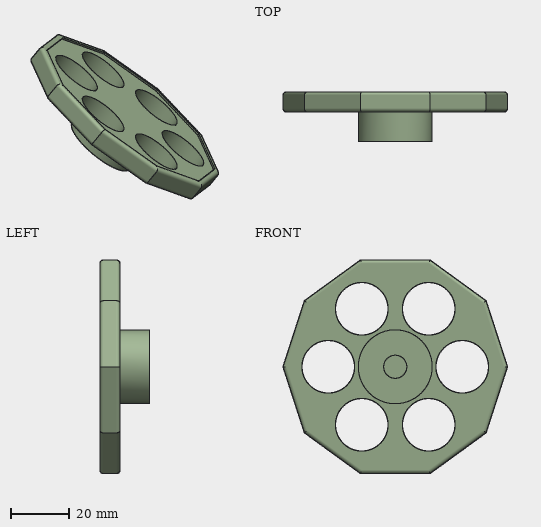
import cadquery as cq

wheel_sides = 10
wheel_across_corners = 77.3
total_depth = 17.15
wheel_thickness = 6.95
edge_radius = 1.2

recess_depth = 0.6
recess_across_corners = 72.65

hub_diameter = 25.4
hub_height = total_depth - wheel_thickness
bore_diameter = 7.95
bore_depth = hub_height

window_count = 6
window_diameter = 18.0
window_circle_radius = 23.0


def make_wheel():
    """Ten-sided plate with a corner on the X axis and a ring of round lightening holes.

    The front and back rims are rounded.
    """
    plate = cq.Workplane("XZ").polygon(wheel_sides, wheel_across_corners).extrude(wheel_thickness)
    plate = plate.faces("<Y or >Y").edges().fillet(edge_radius)
    windows = (
        cq.Workplane("XZ")
        .polarArray(window_circle_radius, 0, 360, window_count)
        .circle(window_diameter / 2)
        .extrude(wheel_thickness)
    )
    return plate.cut(windows)


def cut_back_recess(body):
    """Ten-sided recess in the back face, parallel to the rim."""
    recess = cq.Workplane("XZ").polygon(wheel_sides, recess_across_corners).extrude(recess_depth)
    return body.cut(recess)


def add_hub(body):
    """Cylindrical hub on the front face with a central blind bore."""
    hub = cq.Workplane("XZ", origin=(0, -wheel_thickness, 0)).circle(hub_diameter / 2).extrude(hub_height)
    bore = (
        cq.Workplane("XZ", origin=(0, bore_depth - total_depth, 0))
        .circle(bore_diameter / 2)
        .extrude(bore_depth)
    )
    return body.union(hub).cut(bore)


result = add_hub(cut_back_recess(make_wheel()))